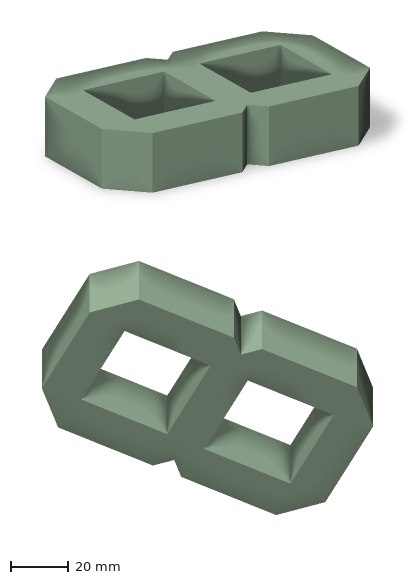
import cadquery as cq

thickness = 22.25
ring_size = 62.5
ring_pitch = 48.0
corner_chamfer = 12.75

wall = ring_size - ring_pitch
window_size = ring_size - 2 * wall

ring_centres = [(0, -ring_pitch / 2), (0, ring_pitch / 2)]


def chamfered_block(centre):
    """Square block with its four vertical edges chamfered."""
    return (
        cq.Workplane("XY")
        .center(*centre)
        .rect(ring_size, ring_size)
        .extrude(thickness)
        .edges("|Z")
        .chamfer(corner_chamfer)
    )


def window_cutter():
    """Square openings through the full thickness, one per ring."""
    return (
        cq.Workplane("XY")
        .pushPoints(ring_centres)
        .rect(window_size, window_size)
        .extrude(thickness)
    )


body = chamfered_block(ring_centres[0])
for centre in ring_centres[1:]:
    body = body.union(chamfered_block(centre))

result = body.cut(window_cutter()).clean()